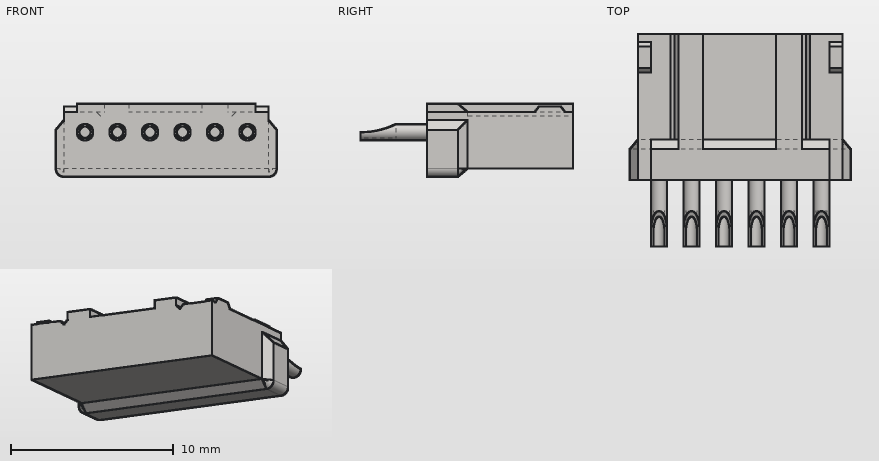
import cadquery as cq
import math


overall_width = 13.6
overall_height = 4.5
step = 0.5
body_length = 9.0
body_half_width = overall_width / 2 - step
body_top = overall_height - step

collar_length = 2.5
bevel_run = 0.6
collar_flat_length = collar_length - bevel_run
collar_side_top = 3.5

bar_half_width = 5.5
left_rib_inner_x = -2.3
right_rib_inner_x = 2.2
rib_outer_x = 3.8
groove_width = 0.5
groove_depth = groove_width / 2

nub_width = body_half_width - bar_half_width
nub_height = 0.34
nub_ramp = 0.27
nub_length = 1.86
nub_back_gap = 0.5

cup_count = 6
cup_pitch = 2.0
cup_radius = 0.5
bore_radius = 0.35
cup_length = 4.1
cup_z = 2.75
scoop_radius = 5.0


def extrude_along_x(points, x_start, x_end):
    """Solid with a (Y, Z) outline between two X positions."""
    return cq.Workplane("YZ", origin=(x_start, 0, 0)).polyline(points).close().extrude(x_end - x_start)


def make_box(x_start, x_end, y_start, y_end, z_start, z_end):
    size = (x_end - x_start, y_end - y_start, z_end - z_start)
    return cq.Workplane("XY", origin=(x_start, y_start, z_start)).box(*size, centered=False)


def make_collar():
    bottom_outline = [(0, 0), (collar_flat_length, 0), (collar_length, step), (0, step)]
    collar = extrude_along_x(bottom_outline, -body_half_width, body_half_width)

    half_width = overall_width / 2
    rear_bevels = (
        cq.Workplane("XY", origin=(0, 0, step))
        .moveTo(-half_width, 0)
        .lineTo(half_width, 0)
        .lineTo(half_width, collar_flat_length)
        .lineTo(body_half_width, collar_length)
        .lineTo(-body_half_width, collar_length)
        .lineTo(-half_width, collar_flat_length)
        .close()
        .extrude(collar_side_top - step)
    )
    top_bevels = (
        cq.Workplane("XZ")
        .moveTo(-half_width, step)
        .lineTo(half_width, step)
        .lineTo(half_width, collar_side_top - bevel_run)
        .lineTo(body_half_width, collar_side_top)
        .lineTo(-body_half_width, collar_side_top)
        .lineTo(-half_width, collar_side_top - bevel_run)
        .close()
        .extrude(-collar_length)
    )
    collar = collar.union(rear_bevels.intersect(top_bevels))

    corner = (
        cq.Workplane("XY")
        .polyline([(0, 0), (step, 0), (step, collar_flat_length), (0, collar_length)])
        .close()
        .revolve(360, (0, 0, 0), (0, 1, 0))
    )
    for x in (-body_half_width, body_half_width):
        collar = collar.union(corner.translate((x, 0, step)))
    return collar


def make_raised_top():
    bar_outline = [
        (0, body_top),
        (0, overall_height),
        (collar_flat_length, overall_height),
        (collar_length, body_top),
    ]
    raised = extrude_along_x(bar_outline, -bar_half_width, bar_half_width)
    left_rib = make_box(-rib_outer_x, left_rib_inner_x, 0, body_length, body_top, overall_height)
    right_rib = make_box(right_rib_inner_x, rib_outer_x, 0, body_length, body_top, overall_height)
    return raised.union(left_rib).union(right_rib)


def make_groove():
    """V groove in the body top, along the outer foot of the right-hand rib."""
    return (
        cq.Workplane("XZ", origin=(0, collar_length, 0))
        .moveTo(rib_outer_x, body_top)
        .lineTo(rib_outer_x + groove_width, body_top)
        .lineTo(rib_outer_x + groove_width / 2, body_top - groove_depth)
        .close()
        .extrude(collar_length - body_length)
    )


def make_nub():
    """Right-hand keying nub with a ramp at each end."""
    back = body_length - nub_back_gap
    front = back - nub_length
    outline = [
        (front, body_top),
        (front + nub_ramp, body_top + nub_height),
        (back - nub_ramp, body_top + nub_height),
        (back, body_top),
    ]
    return extrude_along_x(outline, bar_half_width, bar_half_width + nub_width)


def make_cup():
    """Solder cup on the Y axis: a rod, bored at its end and scooped open on top."""
    scoop_length = math.sqrt(scoop_radius**2 - (scoop_radius - cup_radius) ** 2)
    rod = cq.Workplane("XZ").circle(cup_radius).extrude(cup_length)
    bore = (
        cq.Workplane("XZ", origin=(0, scoop_length - cup_length, 0))
        .circle(bore_radius)
        .extrude(scoop_length)
    )
    scoop = (
        cq.Workplane("YZ", origin=(0, -cup_length, scoop_radius))
        .circle(scoop_radius)
        .extrude(cup_radius, both=True)
    )
    return rod.cut(bore).cut(scoop)


body = make_box(-body_half_width, body_half_width, 0, body_length, step, body_top)
result = body.union(make_collar()).union(make_raised_top())

groove = make_groove()
result = result.cut(groove).cut(groove.mirror("YZ"))

nub = make_nub()
result = result.union(nub).union(nub.mirror("YZ"))

cup = make_cup()
for index in range(cup_count):
    cup_x = (index - (cup_count - 1) / 2) * cup_pitch
    result = result.union(cup.translate((cup_x, 0, cup_z)))